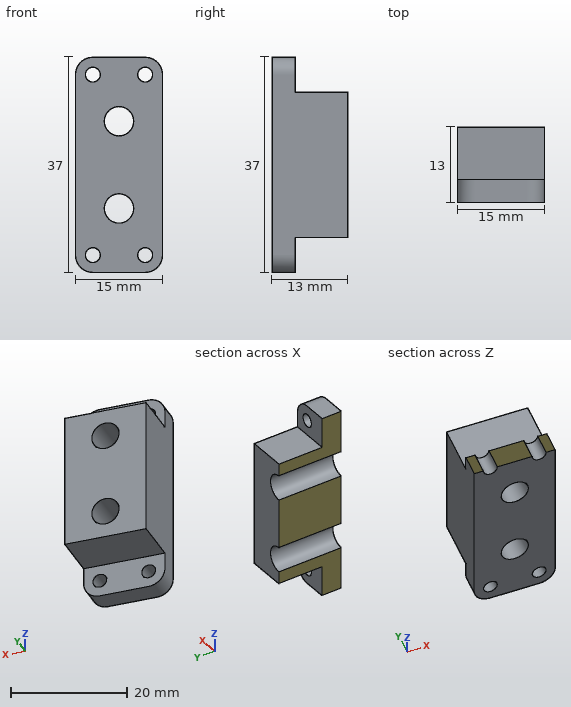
import cadquery as cq

width = 15.0
depth = 13.0
height = 37.0

flange_thickness = 4.0
corner_radius = 3.0
block_height = 25.0

bore_diameter = 5.0
bore_spacing = 15.0
screw_diameter = 2.5
screw_spacing_x = 9.0
screw_spacing_z = 31.0


def make_flange():
    """Upright plate with rounded corners, front face on Y = 0."""
    plate = cq.Workplane("XY").box(width, flange_thickness, height, centered=(True, False, True))
    return plate.edges("|Y").fillet(corner_radius)


def make_block():
    """Full-width block reaching from the front face to the back of the part."""
    return cq.Workplane("XY").box(width, depth, block_height, centered=(True, False, True))


def make_holes(diameter, columns, rows, spacing_x, spacing_z):
    """Centred grid of cylinders running through the whole depth."""
    return (
        cq.Workplane("XZ")
        .rarray(spacing_x, spacing_z, columns, rows)
        .circle(diameter / 2)
        .extrude(-depth)
    )


bores = make_holes(bore_diameter, 1, 2, width, bore_spacing)
screw_holes = make_holes(screw_diameter, 2, 2, screw_spacing_x, screw_spacing_z)

result = make_flange().union(make_block()).cut(bores).cut(screw_holes)